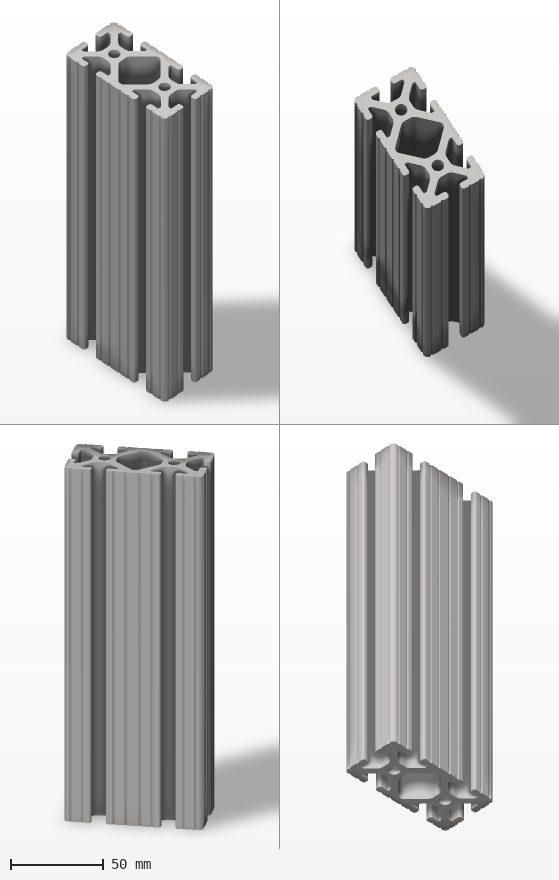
import cadquery as cq
import math

length = 203.2
cell = 38.1
cell_count = 2
half_cell = cell / 2

slot_opening = 8.1
lip_thickness = 4.0
lip_radius = 1.5
pocket_width = 20.1
pocket_corner_radius = 0.5

bore_diameter = 6.7
boss_half = 6.6
boss_fillet = 4.7
rib_thickness = 4.3
rib_offset = rib_thickness / math.sqrt(2)

groove_offsets = (8.7, 15.2)
groove_width = 1.6
groove_depth = 0.6
groove_radius = ((groove_width / 2) ** 2 + groove_depth ** 2) / (2 * groove_depth)

corner_radius = half_cell - groove_offsets[-1] - groove_width / 2

cavity_apex_radius = 2.8

cell_centers = [((i - (cell_count - 1) / 2) * cell, 0) for i in range(cell_count)]
cavity_centers = [(x + half_cell, 0) for x, _ in cell_centers[:-1]]


def prism(points):
    """Full-length prism over a closed polygon."""
    return cq.Workplane("XY").polyline(points).close().extrude(length)


def slot_pocket():
    """Wide inner part of a T-slot, narrowing at 45 degrees to the boss."""
    half = pocket_width / 2
    top = half_cell - lip_thickness
    floor_half = boss_half - rib_offset
    pocket = prism([
        (floor_half, boss_half),
        (half, half + rib_offset),
        (half, top),
        (-half, top),
        (-half, half + rib_offset),
        (-floor_half, boss_half),
    ])
    pocket = pocket.edges("|Z and >Y").fillet(pocket_corner_radius)
    return pocket.edges("|Z and <Y").fillet(boss_fillet)


def slot_mouth():
    """Gap between the lips, flared by the rounded edges of both lips."""
    half = slot_opening / 2
    flare = half + lip_radius
    arc_inset = lip_radius * (1 - math.sqrt(0.5))
    outer = half_cell
    inner = half_cell - lip_thickness
    return (
        cq.Workplane("XY")
        .moveTo(flare, outer)
        .threePointArc((half + arc_inset, outer - arc_inset), (half, outer - lip_radius))
        .lineTo(half, inner + lip_radius)
        .threePointArc((half + arc_inset, inner + arc_inset), (flare, inner))
        .lineTo(-flare, inner)
        .threePointArc((-half - arc_inset, inner + arc_inset), (-half, inner + lip_radius))
        .lineTo(-half, outer - lip_radius)
        .threePointArc((-half - arc_inset, outer - arc_inset), (-flare, outer))
        .close()
        .extrude(length)
    )


def face_grooves():
    """Shallow grooves on both sides of a slot."""
    groove_y = half_cell + groove_radius - groove_depth
    centers = [(side * x, groove_y) for x in groove_offsets for side in (-1, 1)]
    return cq.Workplane("XY").pushPoints(centers).circle(groove_radius).extrude(length)


def cavity():
    """Opening between two neighbouring bosses, centred on the origin."""
    apex_y = half_cell - rib_offset
    side_x = half_cell - boss_half
    side_half = apex_y - side_x
    diamond = prism([
        (side_x, -side_half),
        (side_x, side_half),
        (0, apex_y),
        (-side_x, side_half),
        (-side_x, -side_half),
        (0, -apex_y),
    ])
    diamond = diamond.edges("|Z and (<X or >X)").fillet(boss_fillet)
    return diamond.edges("|Z and (<Y or >Y)").fillet(cavity_apex_radius)


result = cq.Workplane("XY").rect(cell_count * cell, cell).extrude(length)
result = result.edges("|Z").fillet(corner_radius)

slotted_faces = [(center, angle) for center in cell_centers for angle in (0, 180)]
slotted_faces += [(cell_centers[0], 90), (cell_centers[-1], -90)]
face_cutter = slot_pocket().union(slot_mouth()).union(face_grooves())
for (x, y), angle in slotted_faces:
    result = result.cut(face_cutter.rotate((0, 0, 0), (0, 0, 1), angle).translate((x, y, 0)))

result = result.cut(cq.Workplane("XY").pushPoints(cell_centers).circle(bore_diameter / 2).extrude(length))

for x, y in cavity_centers:
    result = result.cut(cavity().translate((x, y, 0)))

result = cq.Workplane("XY").newObject(result.solids().vals())